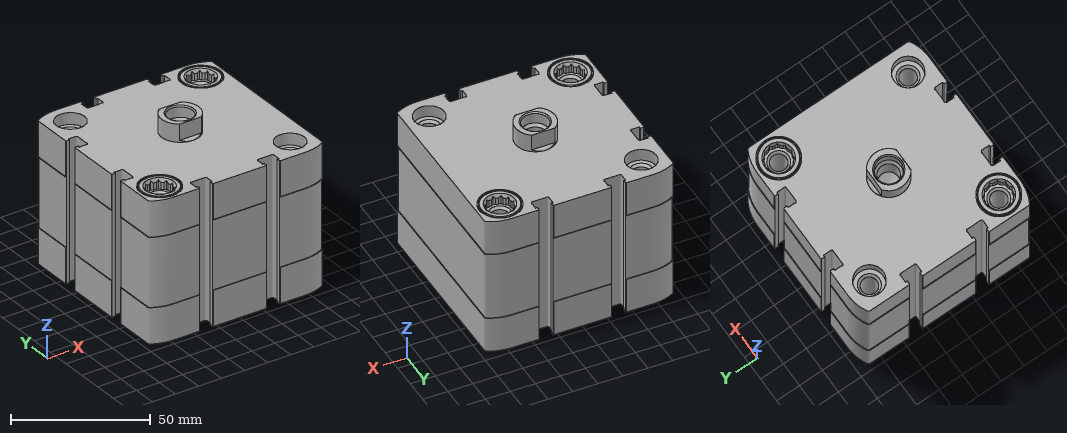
import cadquery as cq

import math

width = 75.5
half_width = width / 2
housing_height = 59.0
cap_height = 15.0
barrel_height = housing_height - 2 * cap_height
barrel_inset = 0.25
corner_arc_radius = 18.0
corner_arc_start = 28.4
corner_edge_fillet = 1.2

slot_offset = 14.5
slot_mouth_width = 5.5
slot_inner_width = 7.0
slot_depth = 5.3
slot_lip = 1.6
slot_corner_radius = 0.5
slot_mouth_chamfer = 0.25

hole_offset = 28.25
mount_hole_diameter = 6.65
counterbore_diameter = 12.0
counterbore_depth = 4.9
countersink_diameter = 8.57
cutter_overlap = 1.0

groove_outer_diameter = 16.4
groove_inner_diameter = 15.5
groove_depth = 0.5
bushing_chamfer = 0.3
socket_depth = 4.4
socket_rim_diameter = 12.0
socket_across_flats = 9.8
socket_bore_diameter = 10.5
socket_lead_in_angle = math.radians(64)

rod_diameter = 16.0
rod_projection = 7.5
rod_embedded_length = cap_height
rod_length = rod_embedded_length + rod_projection
rod_across_flats = 13.0
flat_bottom_height = 0.85
thread_relief_diameter = 10.5
thread_relief_depth = 4.8
thread_rim_chamfer = 0.5
thread_core_diameter = 8.38
thread_depth = 15.0
drill_tip_half_angle = math.radians(59)


def profile_prism(inset, height):
    """Square block with arched corners, every side moved inward by inset."""
    side = half_width - inset
    radius = corner_arc_radius - inset
    arc_centre_y = half_width - corner_arc_radius

    def arc_point(x):
        return x, arc_centre_y + math.sqrt(radius**2 - (x - corner_arc_start) ** 2)

    arc_middle = arc_point((corner_arc_start + side) / 2)
    arc_end = arc_point(side)
    quarter = (
        cq.Workplane("XY")
        .moveTo(0, 0)
        .lineTo(0, side)
        .lineTo(corner_arc_start, side)
        .threePointArc(arc_middle, arc_end)
        .lineTo(side, 0)
        .close()
        .extrude(height)
    )
    half = quarter.union(quarter.mirror("YZ"))
    block = half.union(half.mirror("XZ")).clean()
    return block.faces(">X or <X").edges("|Z").fillet(corner_edge_fillet)


def slot_cutter():
    """T-slot opening toward +Y, centred on X = 0."""
    inner_length = slot_depth - slot_lip
    pocket = (
        cq.Workplane("XY")
        .center(0, half_width - slot_depth + inner_length / 2)
        .rect(slot_inner_width, inner_length)
        .extrude(housing_height)
        .edges("|Z and <Y")
        .fillet(slot_corner_radius)
    )
    half_mouth = slot_mouth_width / 2
    flare_start = half_width - slot_mouth_chamfer
    mouth = (
        cq.Workplane("XY")
        .moveTo(-half_mouth, half_width - slot_depth / 2)
        .lineTo(half_mouth, half_width - slot_depth / 2)
        .lineTo(half_mouth, flare_start)
        .lineTo(half_mouth + slot_mouth_chamfer, half_width)
        .lineTo(-half_mouth - slot_mouth_chamfer, half_width)
        .lineTo(-half_mouth, flare_start)
        .close()
        .extrude(housing_height)
    )
    return pocket.union(mouth)


def through_hole(floor):
    """Mounting hole up the Z axis, countersunk where it meets a recess floor at height floor."""
    hole_radius = mount_hole_diameter / 2
    sink_radius = countersink_diameter / 2
    return (
        cq.Workplane("XZ")
        .moveTo(0, -cutter_overlap)
        .lineTo(hole_radius, -cutter_overlap)
        .lineTo(hole_radius, floor - (sink_radius - hole_radius))
        .lineTo(sink_radius, floor)
        .lineTo(0, floor)
        .close()
        .revolve(360, (0, 0), (0, 1))
    )


def counterbored_hole():
    """Plain mounting hole with a round counterbore."""
    floor = housing_height - counterbore_depth
    counterbore = (
        cq.Workplane("XY")
        .workplane(offset=floor)
        .circle(counterbore_diameter / 2)
        .extrude(counterbore_depth)
    )
    return through_hole(floor).union(counterbore)


def bushing_groove():
    """Ring groove around a bushing, with the bushing's rim chamfered."""
    outer = groove_outer_diameter / 2
    inner = groove_inner_diameter / 2
    return (
        cq.Workplane("XZ")
        .moveTo(inner, housing_height - groove_depth)
        .lineTo(outer, housing_height - groove_depth)
        .lineTo(outer, housing_height)
        .lineTo(inner - bushing_chamfer, housing_height)
        .lineTo(inner, housing_height - bushing_chamfer)
        .close()
        .revolve(360, (0, 0), (0, 1))
    )


def bushing_hole():
    """Mounting hole with a twelve-point socket and a conical lead-in."""
    floor = housing_height - socket_depth
    socket = (
        cq.Workplane("XY")
        .workplane(offset=floor)
        .circle(socket_bore_diameter / 2)
        .extrude(socket_depth)
    )
    corner_diameter = socket_across_flats / math.cos(math.pi / 6)
    hexagon = (
        cq.Workplane("XY")
        .workplane(offset=floor)
        .polygon(6, corner_diameter)
        .extrude(socket_depth)
    )
    for angle in (0, 30):
        socket = socket.union(hexagon.rotate((0, 0, 0), (0, 0, 1), angle))
    rim_radius = socket_rim_diameter / 2
    bore_radius = socket_bore_diameter / 2
    cone_depth = (rim_radius - bore_radius) * math.tan(socket_lead_in_angle)
    lead_in = (
        cq.Workplane("XZ")
        .moveTo(0, housing_height)
        .lineTo(rim_radius, housing_height)
        .lineTo(bore_radius, housing_height - cone_depth)
        .lineTo(0, housing_height - cone_depth)
        .close()
        .revolve(360, (0, 0), (0, 1))
    )
    return through_hole(floor).union(socket).union(lead_in).union(bushing_groove())


def make_housing():
    housing = profile_prism(0, cap_height)
    housing = housing.union(
        profile_prism(barrel_inset, barrel_height).translate((0, 0, cap_height))
    )
    housing = housing.union(
        profile_prism(0, cap_height).translate((0, 0, cap_height + barrel_height))
    )

    for side_angle in (0, 90, 180):
        for offset in (-slot_offset, slot_offset):
            slot = slot_cutter().translate((offset, 0, 0))
            housing = housing.cut(slot.rotate((0, 0, 0), (0, 0, 1), side_angle))

    for sign in (-1, 1):
        x = sign * hole_offset
        housing = housing.cut(bushing_hole().translate((x, x, 0)))
        housing = housing.cut(counterbored_hole().translate((x, -x, 0)))

    rod_seat = (
        cq.Workplane("XY")
        .workplane(offset=housing_height - rod_embedded_length)
        .circle(rod_diameter / 2)
        .extrude(rod_embedded_length)
    )
    return housing.cut(rod_seat)


def rod_thread_bore(rod_top):
    """Stepped female bore with chamfered rim and conical drill tip."""
    relief_radius = thread_relief_diameter / 2
    core_radius = thread_core_diameter / 2
    relief_bottom = rod_top - thread_relief_depth
    tip_height = core_radius / math.tan(drill_tip_half_angle)
    return (
        cq.Workplane("XZ")
        .moveTo(0, rod_top)
        .lineTo(relief_radius + thread_rim_chamfer, rod_top)
        .lineTo(relief_radius, rod_top - thread_rim_chamfer)
        .lineTo(relief_radius, relief_bottom)
        .lineTo(core_radius, relief_bottom - (relief_radius - core_radius))
        .lineTo(core_radius, rod_top - thread_depth)
        .lineTo(0, rod_top - thread_depth - tip_height)
        .close()
        .revolve(360, (0, 0), (0, 1))
    )


def wrench_flat(rod_top):
    """Cutter for the wrench flat on the +Y side, with a sloping run-out at its foot."""
    flat_y = rod_across_flats / 2
    rod_radius = rod_diameter / 2
    return (
        cq.Workplane("YZ")
        .moveTo(flat_y, housing_height + flat_bottom_height)
        .lineTo(rod_radius, housing_height)
        .lineTo(rod_radius, rod_top)
        .lineTo(flat_y, rod_top)
        .close()
        .extrude(rod_radius, both=True)
    )


def make_piston_rod():
    rod_top = housing_height + rod_projection
    rod = (
        cq.Workplane("XY")
        .workplane(offset=housing_height - rod_embedded_length)
        .circle(rod_diameter / 2)
        .extrude(rod_length)
    )
    flat = wrench_flat(rod_top)
    return rod.cut(flat).cut(flat.mirror("XZ")).cut(rod_thread_bore(rod_top))


housing = make_housing()
piston_rod = make_piston_rod()
result = cq.Compound.makeCompound([housing.val(), piston_rod.val()])